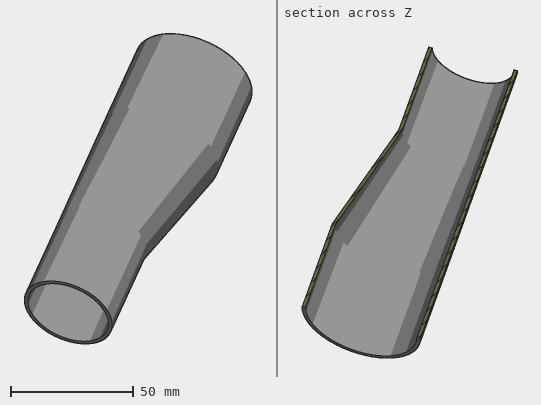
import cadquery as cq

total_length = 133.4
wide_diameter = 50.8
narrow_diameter = 38.2
wall = 1.6
cone_length = wide_diameter
tube_length = (total_length - cone_length) / 2

narrow_axis_x = (narrow_diameter - wide_diameter) / 2
narrow_end_y = 0.0
cone_start_y = narrow_end_y + tube_length
cone_end_y = cone_start_y + cone_length


def cross_section(axis_x, y, radius):
    """Circular wire normal to Y."""
    return cq.Wire.makeCircle(radius, cq.Vector(axis_x, y, 0), cq.Vector(0, 1, 0))


def tube(axis_x, start_y, radius):
    """Solid cylinder of one end tube, running toward +Y."""
    start = cq.Vector(axis_x, start_y, 0)
    return cq.Solid.makeCylinder(radius, tube_length, start, cq.Vector(0, 1, 0))


def reducer_body(inset):
    """Solid reducer shape with every radius reduced by the inset."""
    narrow_radius = narrow_diameter / 2 - inset
    wide_radius = wide_diameter / 2 - inset
    cone = cq.Solid.makeLoft(
        [
            cross_section(narrow_axis_x, cone_start_y, narrow_radius),
            cross_section(0, cone_end_y, wide_radius),
        ],
        True,
    )
    narrow_tube = tube(narrow_axis_x, narrow_end_y, narrow_radius)
    wide_tube = tube(0, cone_end_y, wide_radius)
    return cq.Workplane(obj=narrow_tube).union(cq.Workplane(obj=cone)).union(cq.Workplane(obj=wide_tube))


outer_body = reducer_body(0)
bore = reducer_body(wall)
result = outer_body.cut(bore)